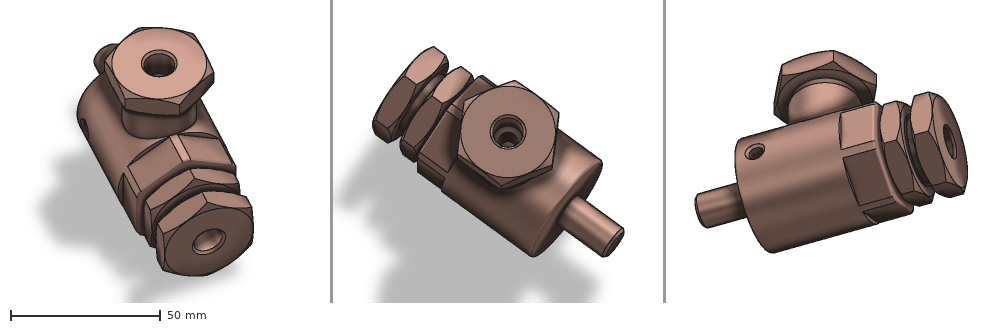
import cadquery as cq
import math


SHAFT_DIAMETER = 12.0
SHAFT_EXPOSED = 20.0
SHAFT_ENGAGEMENT = 4.5
SHAFT_CHAMFER = 1.0

HOUSING_DIAMETER = 40.0
HOUSING_LENGTH = 50.0
HOUSING_FILLET = 1.0
HOUSING_HEX_FLATS = 36.0
HOUSING_HEX_LENGTH = 12.15
BORE_DEPTH = 13.5

SIDE_HOLE_DIAMETER = 5.0
SIDE_HOLE_CHAMFER = 1.0
SIDE_HOLE_X = 27.5

TUBE_DIAMETER = 25.0
TUBE_BORE = 6.0
BRANCH_X = 45.0
BRANCH_TOP = 32.0
AXIAL_TUBE_LENGTH = 9.0

HEX_FLATS = 32.0
HEX_CHAMFER_DIAMETER = 31.8
HEX_CHAMFER_ANGLE = 30.0
HEX_CORNER_CLEARANCE = 0.9
PLUG_HEAD = 8.0
PLUG_NECK_DIAMETER = 23.5
PLUG_NECK_LENGTH = 3.0
PLUG_BORE = 10.2
PLUG_BORE_MOUTH = 12.0
NUT_THICKNESS = 7.5
NUT_GAP = 1.0

HOUSING_FRONT = SHAFT_EXPOSED
HOUSING_BACK = HOUSING_FRONT + HOUSING_LENGTH
AXIAL_TUBE_END = HOUSING_BACK + AXIAL_TUBE_LENGTH


def cylinder_along_x(start, length, diameter):
    return cq.Workplane("YZ", origin=(start, 0, 0)).circle(diameter / 2).extrude(length)


def hexagon(flats, height):
    """Hexagonal prism rising from the origin along Z, with corners on the X axis."""
    corner_diameter = flats / math.cos(math.pi / 6)
    return cq.Workplane("XY").polygon(6, corner_diameter).extrude(height)


def chamfered_hexagon(height):
    """Hexagonal prism whose corners are turned off by a cone at both ends."""
    end_radius = HEX_CHAMFER_DIAMETER / 2
    corner_radius = HEX_FLATS / 2 / math.cos(math.pi / 6)
    outer_radius = corner_radius + HEX_CORNER_CLEARANCE
    drop = (outer_radius - end_radius) * math.tan(math.radians(HEX_CHAMFER_ANGLE))
    turned_blank = (
        cq.Workplane("XZ")
        .polyline([
            (0, 0),
            (end_radius, 0),
            (outer_radius, drop),
            (outer_radius, height - drop),
            (end_radius, height),
            (0, height),
        ])
        .close()
        .revolve(360, (0, 0, 0), (0, 1, 0))
    )
    return hexagon(HEX_FLATS, height).intersect(turned_blank)


def lay_along_main_axis(body, x):
    """Turn a body built along +Z so that it points along +X, with its base at x."""
    return body.rotate((0, 0, 0), (0, 1, 0), 90).translate((x, 0, 0))


def make_shaft():
    shaft = cylinder_along_x(0, SHAFT_EXPOSED + SHAFT_ENGAGEMENT, SHAFT_DIAMETER)
    return shaft.faces("<X").chamfer(SHAFT_CHAMFER)


def make_housing():
    housing = cylinder_along_x(HOUSING_FRONT, HOUSING_LENGTH, HOUSING_DIAMETER)

    hex_start = HOUSING_BACK - HOUSING_HEX_LENGTH
    wrench_hexagon = lay_along_main_axis(hexagon(HOUSING_HEX_FLATS, HOUSING_HEX_LENGTH), hex_start)
    offcut = cylinder_along_x(hex_start, HOUSING_HEX_LENGTH, 2 * HOUSING_DIAMETER).cut(wrench_hexagon)
    housing = housing.cut(offcut)
    housing = housing.faces("<X or >X").edges().fillet(HOUSING_FILLET)

    side_hole = (
        cq.Workplane("XZ", origin=(SIDE_HOLE_X, 0, 0))
        .circle(SIDE_HOLE_DIAMETER / 2)
        .extrude(HOUSING_DIAMETER)
    )
    mouth = cq.selectors.BoxSelector(
        (SIDE_HOLE_X - SIDE_HOLE_DIAMETER, -HOUSING_DIAMETER, -SIDE_HOLE_DIAMETER),
        (SIDE_HOLE_X + SIDE_HOLE_DIAMETER, -HOUSING_DIAMETER / 4, SIDE_HOLE_DIAMETER),
        boundingbox=True,
    )
    housing = housing.cut(side_hole).edges(mouth).chamfer(SIDE_HOLE_CHAMFER)

    return housing.cut(cylinder_along_x(HOUSING_FRONT, BORE_DEPTH, SHAFT_DIAMETER))


def make_tube(length):
    return cq.Workplane("XY").circle(TUBE_DIAMETER / 2).circle(TUBE_BORE / 2).extrude(length)


def make_branch_tube():
    """Tube whose lower end is saddled onto the round housing."""
    tube = make_tube(BRANCH_TOP).translate((BRANCH_X, 0, 0))
    return tube.cut(cylinder_along_x(HOUSING_FRONT, HOUSING_LENGTH, HOUSING_DIAMETER))


def make_axial_tube():
    return lay_along_main_axis(make_tube(AXIAL_TUBE_LENGTH), HOUSING_BACK)


def make_plug():
    """Plug standing on its neck at the origin, with the hexagonal head above it."""
    height = PLUG_NECK_LENGTH + PLUG_HEAD
    neck = cq.Workplane("XY").circle(PLUG_NECK_DIAMETER / 2).extrude(PLUG_NECK_LENGTH)
    plug = neck.union(chamfered_hexagon(PLUG_HEAD).translate((0, 0, PLUG_NECK_LENGTH)))
    plug = plug.cut(cq.Workplane("XY").circle(PLUG_BORE / 2).extrude(height))
    bore_edge = cq.selectors.RadiusNthSelector(0)
    return plug.faces(">Z").edges(bore_edge).chamfer((PLUG_BORE_MOUTH - PLUG_BORE) / 2)


def make_lock_nut():
    nut = chamfered_hexagon(NUT_THICKNESS)
    nut = nut.cut(cq.Workplane("XY").circle(TUBE_DIAMETER / 2).extrude(NUT_THICKNESS))
    return lay_along_main_axis(nut, HOUSING_BACK + NUT_GAP)


shaft = make_shaft()
housing = make_housing()
branch_tube = make_branch_tube()
axial_tube = make_axial_tube()
lock_nut = make_lock_nut()
plugs = [
    make_plug().translate((BRANCH_X, 0, BRANCH_TOP)),
    lay_along_main_axis(make_plug(), AXIAL_TUBE_END),
]

result = cq.Compound.makeCompound([
    shaft.val(),
    housing.val(),
    branch_tube.val(),
    axial_tube.val(),
    lock_nut.val(),
    *[plug.val() for plug in plugs],
])